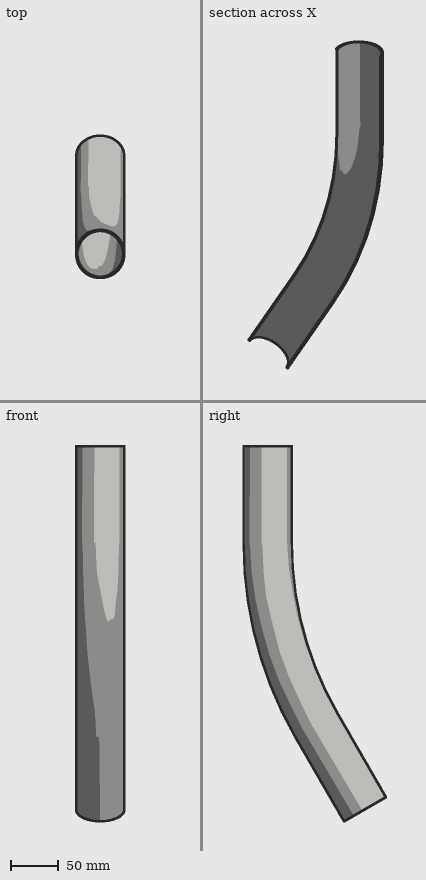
import cadquery as cq
import math

outer_diameter = 50.8
inner_diameter = 47.6

leg_length = 101.6
bend_radius = 7.5 * outer_diameter
bend_angle = 30.0


def bend_point(angle_deg):
    """Return the (Y, Z) centreline point at an angle from the start of the bend."""
    angle = math.radians(angle_deg)
    return (bend_radius * (1 - math.cos(angle)), -bend_radius * math.sin(angle))


def make_centreline():
    """Draw the centreline in the YZ plane, with the bend starting at the origin."""
    bend_middle = bend_point(bend_angle / 2)
    bend_end = bend_point(bend_angle)
    slope = math.radians(bend_angle)
    lower_end = (
        bend_end[0] + leg_length * math.sin(slope),
        bend_end[1] - leg_length * math.cos(slope),
    )
    return (
        cq.Workplane("YZ")
        .moveTo(0, leg_length)
        .lineTo(0, 0)
        .threePointArc(bend_middle, bend_end)
        .lineTo(*lower_end)
    )


def make_tube():
    """Sweep the ring section down the centreline from the upper end."""
    ring = (
        cq.Workplane("XY", origin=(0, 0, leg_length))
        .circle(outer_diameter / 2)
        .circle(inner_diameter / 2)
    )
    return ring.sweep(make_centreline())


result = make_tube()